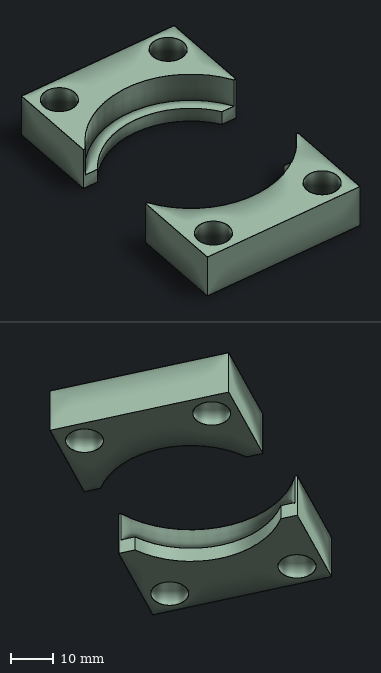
import cadquery as cq

overall_length = 75.0
block_depth = 45.0
block_height = 12.0
block_width = overall_length / 3

seat_radius = 25.2
bore_radius = 22.2
lip_height = 4.0

hole_diameter = 9.0
hole_edge_distance = 6.45
hole_spacing = 32.0


def cylinder(radius, bottom, top):
    """Cylinder on the Z axis between two heights."""
    return cq.Workplane("XY").workplane(offset=bottom).circle(radius).extrude(top - bottom)


def clamp_block(side):
    """One block, at -X (side = -1) or +X (side = 1), with its inner face cut by the stepped seat."""
    block_center = side * (overall_length - block_width) / 2
    hole_x = side * (overall_length / 2 - hole_edge_distance)

    block = (
        cq.Workplane("XY")
        .center(block_center, 0)
        .box(block_width, block_depth, block_height, centered=(True, True, False))
    )
    bolt_holes = (
        cq.Workplane("XY")
        .pushPoints([(hole_x, -hole_spacing / 2), (hole_x, hole_spacing / 2)])
        .circle(hole_diameter / 2)
        .extrude(block_height)
    )
    seat = cylinder(seat_radius, lip_height, block_height)
    bore = cylinder(bore_radius, 0, lip_height)
    return block.cut(bolt_holes).cut(seat).cut(bore)


clamp_blocks = [clamp_block(side).val() for side in (-1, 1)]

result = cq.Compound.makeCompound(clamp_blocks)